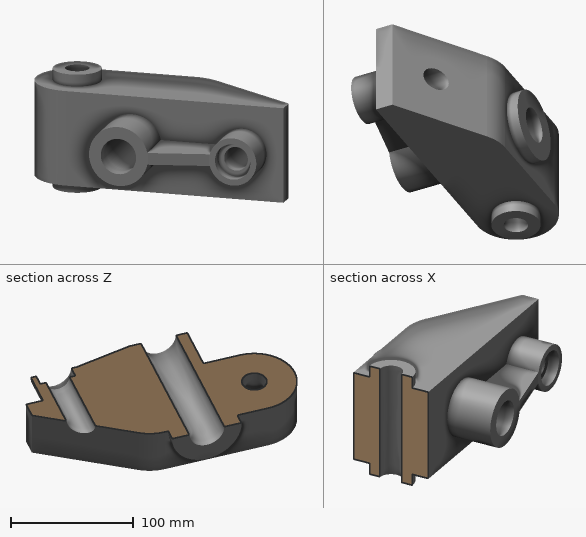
import cadquery as cq

total_length = 220.0
total_height = 100.0
body_width = 70.0
body_height = 80.0
end_radius = body_width / 2
end_x = total_length - end_radius
tip_width = 15.0
taper_corner_x = 100.8
taper_blend_radius = 37.5
front_y = -body_width / 2
back_y = body_width / 2

pivot_boss_diameter = 40.0
pivot_bore_diameter = 20.0

main_x = 56.5
main_diameter = 50.0
main_length = 40.0
main_bore_diameter = 30.0
pad_diameter = 60.0
pad_height = 10.0

small_x = 150.5
small_diameter = 40.0
small_length = 30.0
small_bore_diameter = 20.0
counterbore_diameter = 30.0
counterbore_depth = 10.0

rib_thickness = 10.0

main_face_y = front_y - main_length
small_face_y = front_y - small_length
pad_face_y = back_y + pad_height


def make_body():
    """Rounded and tapered plate, centred on the XY plane."""
    return (
        cq.Workplane("XY")
        .workplane(offset=-body_height / 2)
        .moveTo(0, back_y)
        .threePointArc((-end_radius, 0), (0, front_y))
        .lineTo(end_x, front_y)
        .lineTo(end_x, front_y + tip_width)
        .lineTo(taper_corner_x, back_y)
        .close()
        .extrude(body_height)
        .edges(cq.selectors.NearestToPointSelector((taper_corner_x, back_y, 0)))
        .fillet(taper_blend_radius)
    )


def cylinder_along_y(x, diameter, start_y, end_y):
    """Cylinder at height zero, running from start_y up to end_y."""
    return (
        cq.Workplane("XZ", origin=(x, end_y, 0))
        .circle(diameter / 2)
        .extrude(end_y - start_y)
    )


def cylinder_along_z(diameter, height):
    """Cylinder on the pivot axis, centred on the XY plane."""
    return cq.Workplane("XY").circle(diameter / 2).extrude(height / 2, both=True)


def make_rib():
    """Web between the two front bosses, sloping from one front face to the other."""
    main_side_x = main_x + main_diameter / 2
    small_side_x = small_x - small_diameter / 2
    return (
        cq.Workplane("XY")
        .moveTo(main_x, front_y)
        .lineTo(main_x, main_face_y)
        .lineTo(main_side_x, main_face_y)
        .lineTo(small_side_x, small_face_y)
        .lineTo(small_x, small_face_y)
        .lineTo(small_x, front_y)
        .close()
        .extrude(rib_thickness / 2, both=True)
    )


result = (
    make_body()
    .union(cylinder_along_z(pivot_boss_diameter, total_height))
    .union(cylinder_along_y(main_x, main_diameter, main_face_y, front_y))
    .union(cylinder_along_y(main_x, pad_diameter, back_y, pad_face_y))
    .union(cylinder_along_y(small_x, small_diameter, small_face_y, front_y))
    .union(make_rib())
)

result = (
    result
    .cut(cylinder_along_z(pivot_bore_diameter, total_height))
    .cut(cylinder_along_y(main_x, main_bore_diameter, main_face_y, pad_face_y))
    .cut(cylinder_along_y(small_x, small_bore_diameter, small_face_y, back_y))
    .cut(cylinder_along_y(small_x, counterbore_diameter, small_face_y, small_face_y + counterbore_depth))
)